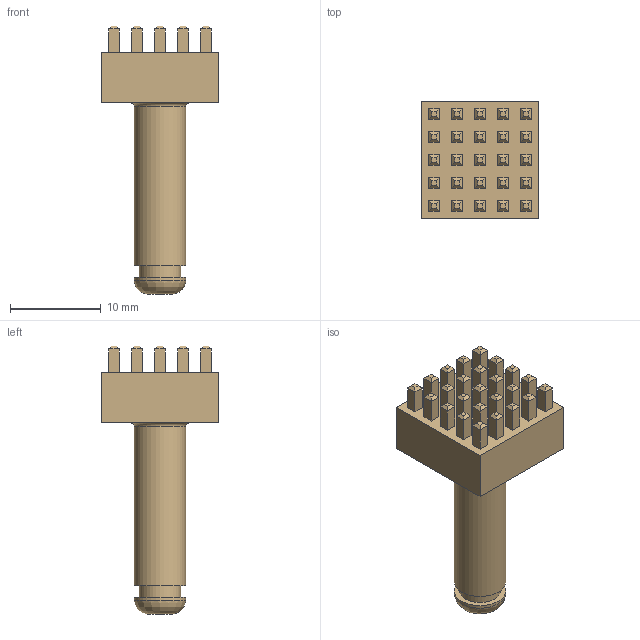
import cadquery as cq
import math

block_side = 13.0
block_height = 5.55

pin_count = 5
pin_pitch = 2.54
pin_side = 1.14
pin_height = 2.95
pin_tip_side = 0.52
pin_tip_height = 0.32

overall_height = 29.6
stem_length = overall_height - block_height - pin_height
stem_diameter = 5.7
stem_radius = stem_diameter / 2
root_fillet_radius = 0.35
end_round_radius = 1.5

groove_diameter = 4.55
groove_radius = groove_diameter / 2
groove_width = 1.25
end_land_height = 0.35

stem_end_z = -stem_length
round_start_z = stem_end_z + end_round_radius
groove_bottom_z = round_start_z + end_land_height
groove_top_z = groove_bottom_z + groove_width


def make_block():
    return cq.Workplane("XY").box(block_side, block_side, block_height, centered=(True, True, False))


def make_stem():
    """Turned stem: rounded free end, retaining groove and a fillet flaring out into the block."""
    diagonal = math.cos(math.radians(45))
    round_centre_x = stem_radius - end_round_radius
    root_centre_x = stem_radius + root_fillet_radius
    profile = (
        cq.Workplane("XZ")
        .moveTo(0, stem_end_z)
        .lineTo(round_centre_x, stem_end_z)
        .threePointArc(
            (round_centre_x + end_round_radius * diagonal, round_start_z - end_round_radius * diagonal),
            (stem_radius, round_start_z),
        )
        .lineTo(stem_radius, groove_bottom_z)
        .lineTo(groove_radius, groove_bottom_z)
        .lineTo(groove_radius, groove_top_z)
        .lineTo(stem_radius, groove_top_z)
        .lineTo(stem_radius, -root_fillet_radius)
        .threePointArc(
            (root_centre_x - root_fillet_radius * diagonal, root_fillet_radius * (diagonal - 1)),
            (root_centre_x, 0),
        )
        .lineTo(0, 0)
        .close()
    )
    return profile.revolve(360, (0, 0, 0), (0, 1, 0))


def make_pins():
    """Square grid of square pins, each with a tapered tip."""
    shank_height = pin_height - pin_tip_height
    shank = cq.Workplane("XY").rect(pin_side, pin_side).extrude(shank_height)
    tip = (
        shank.faces(">Z")
        .workplane()
        .rect(pin_side, pin_side)
        .workplane(offset=pin_tip_height)
        .rect(pin_tip_side, pin_tip_side)
        .loft(ruled=True, combine=False)
    )
    pin = shank.union(tip).val()
    return (
        cq.Workplane("XY", origin=(0, 0, block_height))
        .rarray(pin_pitch, pin_pitch, pin_count, pin_count)
        .eachpoint(lambda place: pin.moved(place))
    )


result = make_block().union(make_stem()).union(make_pins())